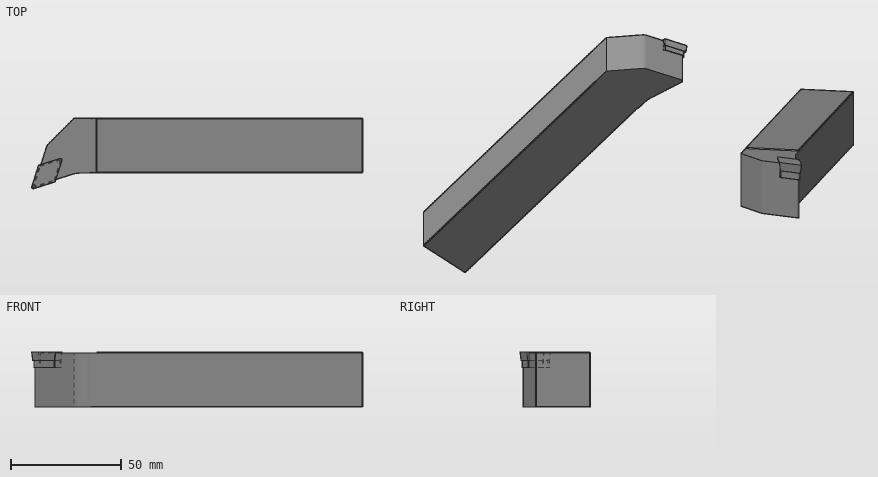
import cadquery as cq
import math

TOTAL_LENGTH = 150.1
TOTAL_WIDTH = 32.0
SHANK_HEIGHT = 25.0
SHANK_WIDTH = 24.8
BACK_Y = 25.0
SIDE_Y = BACK_Y - SHANK_WIDTH
SHANK_TOP_START = 29.3
SHANK_SIDE_START = 26.9
SHANK_CHAMFER = 0.38

HEAD_DROP = 0.5
HEAD_HEIGHT = SHANK_HEIGHT - HEAD_DROP
HEAD_BULGE = 0.2
HEAD_SIDE_Y = SIDE_Y - HEAD_BULGE
BULGE_END = 25.4
BACK_BEVEL_START = 19.2
FRONT_BLEND_RADIUS = 9.5
BACK_BLEND_RADIUS = 4.0

NOSE_ANGLE = 55.0
NOSE_RADIUS = 0.8
INSERT_EDGE = 11.62
INSERT_THICKNESS = 3.98
INSERT_RELIEF = 7.0
INSERT_BOTTOM = SHANK_HEIGHT - INSERT_THICKNESS

SHIM_THICKNESS = 3.2
SHIM_SETBACK = 0.65
HEAD_SETBACK = 0.93
POCKET_SETBACK = 0.3

HALF_ANGLE = math.radians(NOSE_ANGLE / 2)
FLANK_ANGLE = math.radians(45 - NOSE_ANGLE / 2)
FLANK_SLOPE = math.tan(FLANK_ANGLE)

NOSE_CENTRE_Y = BACK_Y - TOTAL_WIDTH + NOSE_RADIUS
TIP_TO_CENTRE = NOSE_RADIUS / math.sin(HALF_ANGLE) * math.sqrt(0.5)
TIP_X = NOSE_RADIUS - TIP_TO_CENTRE
TIP_Y = NOSE_CENTRE_Y - TIP_TO_CENTRE


def setback_tip(setback):
    """Sharp tip of the nose outline when both flanks move inward by setback."""
    shift = setback / math.sin(HALF_ANGLE) * math.sqrt(0.5)
    return TIP_X + shift, TIP_Y + shift


def make_rhombus(setback, bottom, thickness, taper=0.0):
    """Rhombus prism with rounded acute corners, extruded down and drawn in by the taper."""
    tip_x, tip_y = setback_tip(setback)
    edge = INSERT_EDGE - 2 * setback / math.sin(2 * HALF_ANGLE)
    long_leg = edge * math.cos(FLANK_ANGLE)
    short_leg = edge * math.sin(FLANK_ANGLE)
    outline = (
        cq.Sketch()
        .polygon([
            (tip_x, tip_y),
            (tip_x + long_leg, tip_y + short_leg),
            (tip_x + long_leg + short_leg, tip_y + long_leg + short_leg),
            (tip_x + short_leg, tip_y + long_leg),
            (tip_x, tip_y),
        ])
        .vertices("<X or >X")
        .fillet(NOSE_RADIUS)
    )
    return (
        cq.Workplane("XY", origin=(0, 0, bottom + thickness))
        .placeSketch(outline)
        .extrude(-thickness, taper=taper)
    )


def make_head():
    """Angled head with its two flanks meeting at a rounded front edge."""
    tip_x, tip_y = setback_tip(HEAD_SETBACK)
    front_x = tip_x + (HEAD_SIDE_Y - tip_y) / FLANK_SLOPE
    bevel_offset = BACK_Y - BACK_BEVEL_START
    back_y = (tip_x - tip_y * FLANK_SLOPE + bevel_offset) / (1 - FLANK_SLOPE)
    back_x = back_y - bevel_offset
    head = (
        cq.Workplane("XY")
        .polyline([
            (tip_x, tip_y),
            (front_x, HEAD_SIDE_Y),
            (BULGE_END, HEAD_SIDE_Y),
            (SHANK_SIDE_START, SIDE_Y),
            (SHANK_SIDE_START, BACK_Y),
            (BACK_BEVEL_START, BACK_Y),
            (back_x, back_y),
        ])
        .close()
        .extrude(HEAD_HEIGHT)
    )

    def round_edge(body, x, y, radius):
        near = cq.selectors.NearestToPointSelector((x, y, HEAD_HEIGHT / 2))
        return body.edges("|Z").edges(near).fillet(radius)

    head = round_edge(head, tip_x, tip_y, NOSE_RADIUS)
    head = round_edge(head, front_x, HEAD_SIDE_Y, FRONT_BLEND_RADIUS)
    return round_edge(head, back_x, back_y, BACK_BLEND_RADIUS)


def make_shank():
    """Shank, chamfered along its length and around its far end, stepped down at the head."""
    bar = (
        cq.Workplane("XY")
        .box(TOTAL_LENGTH - SHANK_SIDE_START, SHANK_WIDTH, SHANK_HEIGHT, centered=False)
        .translate((SHANK_SIDE_START, SIDE_Y, 0))
        .edges("|X or >X")
        .chamfer(SHANK_CHAMFER)
    )
    step = (
        cq.Workplane("XZ")
        .polyline([
            (SHANK_SIDE_START, SHANK_HEIGHT),
            (SHANK_SIDE_START, HEAD_HEIGHT),
            (SHANK_TOP_START, HEAD_HEIGHT),
            (SHANK_TOP_START + HEAD_DROP, SHANK_HEIGHT),
        ])
        .close()
        .extrude(-BACK_Y)
    )
    return bar.cut(step)


def make_insert():
    """Cutting insert with relief on all four sides."""
    return make_rhombus(0, INSERT_BOTTOM, INSERT_THICKNESS, INSERT_RELIEF)


def make_holder(insert):
    """Head, shank and shim ledge as one body, with a pocket that fits the insert."""
    seat_z = INSERT_BOTTOM - SHIM_THICKNESS
    pocket = make_rhombus(POCKET_SETBACK, seat_z, INSERT_THICKNESS + SHIM_THICKNESS)
    shim = make_rhombus(SHIM_SETBACK, seat_z, SHIM_THICKNESS)
    return make_head().union(make_shank()).cut(pocket).cut(insert).union(shim)


insert = make_insert()
holder = make_holder(insert)
result = cq.Compound.makeCompound([holder.val(), insert.val()])